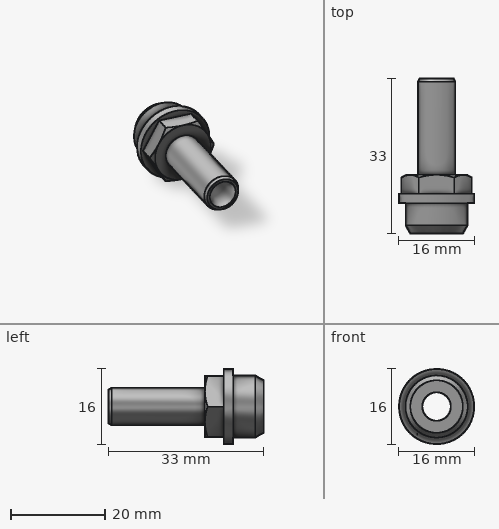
import cadquery as cq
import math

total_length = 33.0
flange_diameter = 16.0
flange_thickness = 2.0
spigot_diameter = 13.2
spigot_length = 6.5
spigot_tip_diameter = 11.15
spigot_taper_length = 1.8
hex_across_flats = 13.0
hex_thickness = 4.0
hex_chamfer_angle = 30.0
stem_diameter = 8.0
stem_chamfer_length = 0.73
stem_chamfer_depth = 0.4
bore_diameter = 6.0

front_y = -total_length / 2
back_y = total_length / 2
flange_front_y = front_y + spigot_length
flange_back_y = flange_front_y + flange_thickness
hex_back_y = flange_back_y + hex_thickness

hex_across_corners = hex_across_flats / math.cos(math.radians(30))


def revolve_about_y(profile):
    """Turn a closed (radius, y) outline into a solid around the Y axis."""
    return cq.Workplane("XY").polyline(profile).close().revolve(360, (0, 0, 0), (0, 1, 0))


def make_turned_body():
    """Tapered spigot, flange and chamfered stem as one turned shape."""
    stem_radius = stem_diameter / 2
    return revolve_about_y([
        (0, front_y),
        (spigot_tip_diameter / 2, front_y),
        (spigot_diameter / 2, front_y + spigot_taper_length),
        (spigot_diameter / 2, flange_front_y),
        (flange_diameter / 2, flange_front_y),
        (flange_diameter / 2, flange_back_y),
        (stem_radius, flange_back_y),
        (stem_radius, back_y - stem_chamfer_length),
        (stem_radius - stem_chamfer_depth, back_y),
        (0, back_y),
    ])


def make_hex():
    """Hexagon with corners toward +X and -X, its back corners turned off by a cone."""
    prism = (
        cq.Workplane("XZ", origin=(0, flange_back_y, 0))
        .polygon(6, hex_across_corners)
        .extrude(-hex_thickness)
    )
    face_radius = hex_across_flats / 2
    corner_radius = hex_across_corners / 2
    corner_drop = (corner_radius - face_radius) * math.tan(math.radians(hex_chamfer_angle))
    chamfer_envelope = revolve_about_y([
        (0, flange_back_y),
        (corner_radius, flange_back_y),
        (corner_radius, hex_back_y - corner_drop),
        (face_radius, hex_back_y),
        (0, hex_back_y),
    ])
    return prism.intersect(chamfer_envelope)


def make_bore():
    """Through bore along the whole axis."""
    return (
        cq.Workplane("XZ", origin=(0, front_y, 0))
        .circle(bore_diameter / 2)
        .extrude(-total_length)
    )


result = make_turned_body().union(make_hex()).cut(make_bore())